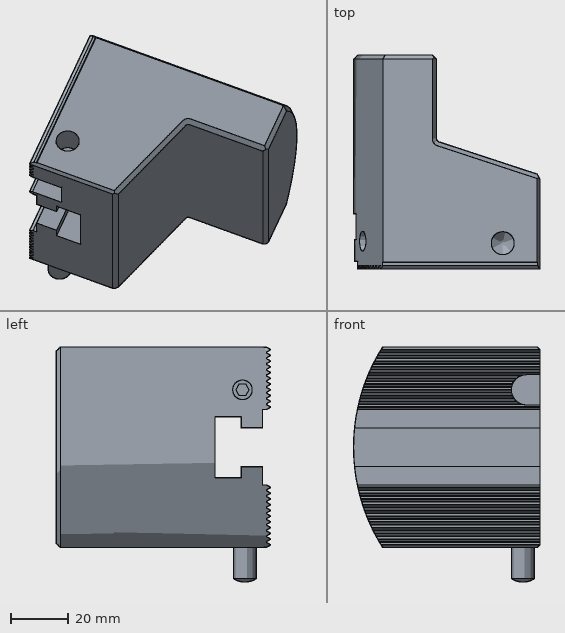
import cadquery as cq
import math


LENGTH_X = 65.0
LENGTH_Y = 74.58
HEIGHT = 70.0
HALF_HEIGHT = HEIGHT / 2
ROUND_SIDE_RADIUS = LENGTH_X
ARM_WIDTH = 29.0
SLOPE_START_Y = 44.6
SLOPE_ANGLE = 18.2
SLOPE_END_Y = SLOPE_START_Y - (LENGTH_X - ARM_WIDTH) * math.tan(math.radians(SLOPE_ANGLE))
INNER_CORNER_RADIUS = 1.0
CHAMFER = 1.5
SIDE_CHAMFER = 1.0

TOOTH_PITCH = 2.0
TOOTH_FLANK_ANGLE = 30.0
TOOTH_FLAT = TOOTH_PITCH / 8
TOOTH_FLANK_WIDTH = TOOTH_PITCH / 2 - TOOTH_FLAT
TOOTH_DEPTH = TOOTH_FLANK_WIDTH / math.tan(math.radians(TOOTH_FLANK_ANGLE))
TOOTH_COUNT = 11
TOP_TIP_Z = HALF_HEIGHT - TOOTH_PITCH / 2
TOOTH_HALF_WIDTH = TOOTH_FLAT / 2 + TOOTH_FLANK_WIDTH
SERRATION_OUTER_Z = TOP_TIP_Z + TOOTH_HALF_WIDTH
SERRATION_INNER_Z = TOP_TIP_Z - (TOOTH_COUNT - 1) * TOOTH_PITCH - TOOTH_HALF_WIDTH
LIP_STEP = HALF_HEIGHT - SERRATION_OUTER_Z
LIP_RUN = LIP_STEP / math.tan(math.radians(TOOTH_FLANK_ANGLE))
LIP_Y = 2.2

RELIEF_Y = 2.7
NECK_WIDTH = 13.5
NECK_END_Y = 10.2
SLOT_WIDTH = 21.2
SLOT_END_Y = 19.2

POCKET_WIDTH = 10.5
POCKET_START_X = 55.0
POCKET_DEPTH = 12.0
CLAMP_Z = 20.0

PIN_DIAMETER = 8.0
PIN_Y = 8.85
PIN_X = 59.0
PIN_EMBEDDED = 12.0
PIN_EXPOSED = 12.0
PIN_CROWN_HEIGHT = 1.2
TOP_HOLE_X = 52.0
TOP_HOLE_Y = 9.0
TOP_HOLE_DEPTH = 12.0
DRILL_POINT_ANGLE = 118.0

SCREW_DIAMETER = 6.8
SCREW_Y = 9.7
SCREW_START_X = 10.0
SCREW_LENGTH = 10.0
HEX_ACROSS_FLATS = 4.0
HEX_DEPTH = 4.0


def at_point(x, y, z):
    return cq.selectors.NearestToPointSelector((x, y, z))


def make_block():
    outline = (
        cq.Workplane("XY", origin=(0, 0, -HALF_HEIGHT))
        .polyline([
            (0, 0),
            (LENGTH_X, 0),
            (LENGTH_X, SLOPE_END_Y),
            (ARM_WIDTH, SLOPE_START_Y),
            (ARM_WIDTH, LENGTH_Y),
            (0, LENGTH_Y),
        ])
        .close()
        .extrude(HEIGHT)
        .edges(at_point(ARM_WIDTH, SLOPE_START_Y, 0))
        .fillet(INNER_CORNER_RADIUS)
    )
    round_side = (
        cq.Workplane("XZ", origin=(LENGTH_X, 0, 0))
        .circle(ROUND_SIDE_RADIUS)
        .extrude(-LENGTH_Y)
    )
    return outline.intersect(round_side)


def chamfer_block(block):
    slope_middle_x = (ARM_WIDTH + LENGTH_X) / 2
    slope_middle_y = (SLOPE_START_Y + SLOPE_END_Y) / 2
    block = block.faces(">Y").edges().chamfer(CHAMFER)
    for z in (-HALF_HEIGHT, HALF_HEIGHT):
        block = block.edges(at_point(slope_middle_x, slope_middle_y, z)).chamfer(CHAMFER)
    return block.cut(make_side_corner_cutter()).cut(make_side_edge_cutters())


def make_side_corner_cutter():
    """Bevel between the slope and the +X face."""
    slope = math.radians(SLOPE_ANGLE)
    return (
        cq.Workplane("XY", origin=(0, 0, -HALF_HEIGHT))
        .polyline([
            (LENGTH_X, SLOPE_END_Y - CHAMFER),
            (LENGTH_X + SIDE_CHAMFER, SLOPE_END_Y),
            (LENGTH_X, SLOPE_END_Y + SIDE_CHAMFER),
            (LENGTH_X - SIDE_CHAMFER * math.cos(slope), SLOPE_END_Y + SIDE_CHAMFER * math.sin(slope)),
        ])
        .close()
        .extrude(HEIGHT)
    )


def make_side_edge_cutters():
    """Bevels along the top and bottom edges of the +X face."""
    top_cutter = (
        cq.Workplane("XZ")
        .polyline([
            (LENGTH_X - SIDE_CHAMFER, HALF_HEIGHT),
            (LENGTH_X, HALF_HEIGHT),
            (LENGTH_X, HALF_HEIGHT - SIDE_CHAMFER),
        ])
        .close()
        .extrude(-LENGTH_Y)
    )
    return top_cutter.union(top_cutter.mirror("XY"))


def make_serration_cutter():
    """Space in front of one serrated strip, from the block edge to the T-slot."""
    cutter = (
        cq.Workplane("YZ")
        .moveTo(0, HALF_HEIGHT)
        .lineTo(LIP_Y + LIP_RUN, HALF_HEIGHT)
        .lineTo(LIP_Y, SERRATION_OUTER_Z)
        .lineTo(TOOTH_DEPTH, SERRATION_OUTER_Z)
    )
    for tooth in range(TOOTH_COUNT):
        tip_z = TOP_TIP_Z - tooth * TOOTH_PITCH
        if tooth > 0:
            cutter = cutter.lineTo(TOOTH_DEPTH, tip_z + TOOTH_HALF_WIDTH)
        cutter = (
            cutter
            .lineTo(0, tip_z + TOOTH_FLAT / 2)
            .lineTo(0, tip_z - TOOTH_FLAT / 2)
            .lineTo(TOOTH_DEPTH, tip_z - TOOTH_HALF_WIDTH)
        )
    return (
        cutter
        .lineTo(-TOOTH_DEPTH, SERRATION_INNER_Z)
        .lineTo(-TOOTH_DEPTH, HALF_HEIGHT)
        .close()
        .extrude(LENGTH_X)
    )


def make_slot_cutters():
    """Shallow relief, neck and wide bottom of the T-slot."""
    steps = [
        (0, RELIEF_Y, 2 * SERRATION_INNER_Z),
        (RELIEF_Y, NECK_END_Y, NECK_WIDTH),
        (NECK_END_Y, SLOT_END_Y, SLOT_WIDTH),
    ]
    return [
        cq.Workplane("XY")
        .box(LENGTH_X, end_y - start_y, width, centered=(False, False, True))
        .translate((0, start_y, 0))
        for start_y, end_y, width in steps
    ]


def make_pocket_cutter():
    """Pocket in the serrated face, level with the set screw."""
    radius = POCKET_WIDTH / 2
    center_x = POCKET_START_X + radius
    return (
        cq.Workplane("XZ")
        .moveTo(LENGTH_X, CLAMP_Z + radius)
        .lineTo(center_x, CLAMP_Z + radius)
        .threePointArc((POCKET_START_X, CLAMP_Z), (center_x, CLAMP_Z - radius))
        .lineTo(LENGTH_X, CLAMP_Z - radius)
        .close()
        .extrude(-POCKET_DEPTH)
    )


def make_top_hole_cutter():
    """Blind hole with a drill point."""
    radius = PIN_DIAMETER / 2
    point_height = radius / math.tan(math.radians(DRILL_POINT_ANGLE / 2))
    return (
        cq.Workplane("XZ")
        .moveTo(0, 0)
        .lineTo(radius, 0)
        .lineTo(radius, -TOP_HOLE_DEPTH)
        .lineTo(0, -TOP_HOLE_DEPTH - point_height)
        .close()
        .revolve(360, (0, 0, 0), (0, 1, 0))
        .translate((TOP_HOLE_X, TOP_HOLE_Y, HALF_HEIGHT))
    )


def make_pin_hole_cutter():
    return (
        cq.Workplane("XY", origin=(PIN_X, PIN_Y, -HALF_HEIGHT))
        .circle(PIN_DIAMETER / 2)
        .extrude(PIN_EMBEDDED)
    )


def make_screw_hole_cutter():
    return (
        cq.Workplane("YZ")
        .center(SCREW_Y, CLAMP_Z)
        .circle(SCREW_DIAMETER / 2)
        .extrude(SCREW_START_X + SCREW_LENGTH)
    )


def make_jaw():
    jaw = chamfer_block(make_block())
    serration_cutter = make_serration_cutter()
    cutters = [
        serration_cutter,
        serration_cutter.mirror("XY"),
        *make_slot_cutters(),
        make_pocket_cutter(),
        make_top_hole_cutter(),
        make_pin_hole_cutter(),
        make_screw_hole_cutter(),
    ]
    for cutter in cutters:
        jaw = jaw.cut(cutter)
    return jaw


def make_pin():
    """Dowel pin with a crowned free end."""
    radius = PIN_DIAMETER / 2
    rim_z = PIN_CROWN_HEIGHT - PIN_EXPOSED
    crown_radius = (radius**2 + PIN_CROWN_HEIGHT**2) / (2 * PIN_CROWN_HEIGHT)
    return (
        cq.Workplane("XZ")
        .moveTo(0, PIN_EMBEDDED)
        .lineTo(radius, PIN_EMBEDDED)
        .lineTo(radius, rim_z)
        .radiusArc((0, -PIN_EXPOSED), crown_radius)
        .close()
        .revolve(360, (0, 0, 0), (0, 1, 0))
        .translate((PIN_X, PIN_Y, -HALF_HEIGHT))
    )


def make_set_screw():
    """Headless screw with a hexagon socket, its corners pointing along Y."""
    socket_corner_diameter = HEX_ACROSS_FLATS / math.cos(math.pi / 6)
    socket = (
        cq.Workplane("YZ", origin=(SCREW_START_X, SCREW_Y, CLAMP_Z))
        .polygon(6, socket_corner_diameter)
        .extrude(HEX_DEPTH)
    )
    return (
        cq.Workplane("YZ", origin=(SCREW_START_X, SCREW_Y, CLAMP_Z))
        .circle(SCREW_DIAMETER / 2)
        .extrude(SCREW_LENGTH)
        .cut(socket)
    )


jaw = make_jaw()
pin = make_pin()
set_screw = make_set_screw()

result = cq.Compound.makeCompound([jaw.val(), pin.val(), set_screw.val()])